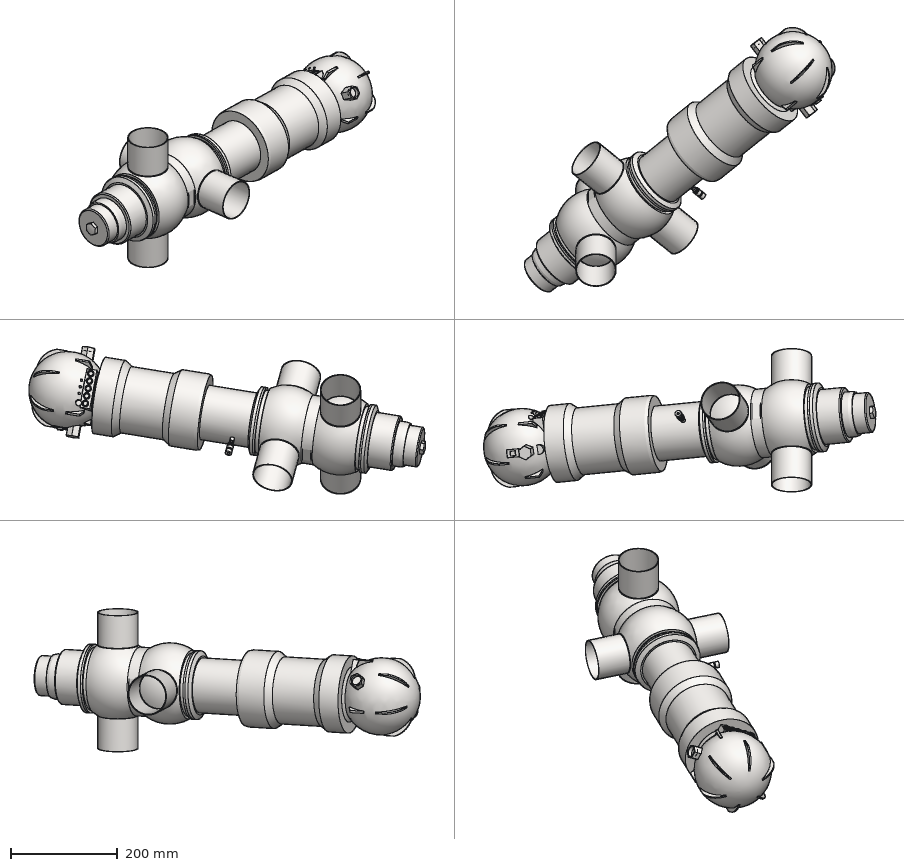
import cadquery as cq
import math


SCREW_TOP = 8.0
CAP_CONE_START = 34.0
CAP_CONE_END = 41.0
LOWER_CYLINDER_END = 54.0
LOWER_BALL_Y = 162.5
UPPER_BALL_Y = 266.0
ACTUATOR_BOTTOM = 422.0
ACTUATOR_TOP = 625.0
HEAD_SEAT = 629.5
OVERALL_LENGTH = 759.0

BALL_RADIUS = 77.0
WAIST_DIAMETER = 130.0
BALL_HALF_LENGTH = math.sqrt(BALL_RADIUS**2 - (WAIST_DIAMETER / 2) ** 2)
CLAMP_NECK_DIAMETER = 120.0
CLAMP_NECK_LENGTH = 7.5
FLANGE_DIAMETER = 130.0
HOUSING_FLANGE = 4.0
PORT_DIAMETER = 76.0
PORT_BORE = 73.0
PORT_REACH = 130.0
PORT_ROOT = 61.0
PORT_PLACES = ((UPPER_BALL_Y, 0), (UPPER_BALL_Y, 180), (LOWER_BALL_Y, 90), (LOWER_BALL_Y, 270))
WAIST_FLAT_DISTANCE = 63.0
WAIST_FLAT_LENGTH = 16.0

TUBE_DIAMETER = 104.0
TUBE_FLANGE = 6.0
FLANGE_CONE = 4.5
FLANGE_CONE_DIAMETER = 111.0

COLLAR_DIAMETER = 86.0
COLLAR_CONE_DIAMETER = 82.0
CAP_DIAMETER = 76.0
EDGE_CHAMFER = 2.0
SCREW_ACROSS_FLATS = 22.0
SCREW_CROWN_RADIUS = 45.5

FITTING_Y = 359.0
FITTING_REACH = 89.0
FITTING_HEAD_DIAMETER = 12.0
FITTING_GROOVE_DIAMETER = 11.0
FITTING_STEM_DIAMETER = 8.0
FITTING_BORE = 4.0
FITTING_BORE_DEPTH = 7.5
FITTING_HEAD = 7.5
FITTING_GROOVE = 2.0
FITTING_FLANGE = 2.0
FITTING_STEM_GROOVE_DIAMETER = 7.0
FITTING_STEM_GROOVE_WIDTH = 4.0
FITTING_STEM_GROOVE_X = -61.5

ACTUATOR_DIAMETER = 146.0
ACTUATOR_MID_DIAMETER = 127.0
ACTUATOR_CONE = 14.0
ACTUATOR_LOWER_END = 477.5
ACTUATOR_UPPER_START = 587.0
ACTUATOR_EDGE_HEIGHT = 6.0
ACTUATOR_EDGE_INSET = 1.5
SEAT_DIAMETER = 104.0
SEAT_TOP_DIAMETER = 82.0

HEAD_RADIUS = 73.0
HEAD_CENTRE = OVERALL_LENGTH - HEAD_RADIUS
UPPER_FIN_WIDTH = 3.0
LOWER_FIN_WIDTH = 4.5
FIN_REACH = 73.3
ATTACH_RADIUS = 30.0
UPPER_FIN_COUNT = 6
UPPER_FIN_START_ANGLE = 45
LOWER_FIN_COUNT = 4
LOWER_FIN_START_ANGLE = 75
UPPER_FIN_BOTTOM = 698.5
UPPER_FIN_BEND = 717.5
UPPER_FIN_ARC_MIDDLE = (62.0, 736.5)
UPPER_FIN_TIP = (38.0, 749.5)
UPPER_FIN_ROOT_TOP = 742.0
LOWER_FIN_TOP = 675.0
LOWER_FIN_BOTTOM = 648.5
LOWER_FIN_FOOT = (61.0, 642.0)
CABLE_GLAND_ANGLE = 30
BLANK_GLAND_ANGLE = 210
GLAND_Y = 661.0
GLAND_ACROSS_FLATS = 23.0
GLAND_REACH = 86.0
GLAND_BORE = 19.0
GLAND_BORE_DEPTH = 7.5
PLUG_Y = 641.0
PLUG_DIAMETER = 18.0
PLUG_REACH = 58.5
SOCKET_Y = 687.0
SOCKET_PLATE = (24.0, 15.0)
SOCKET_PLATE_REACH = 74.0
SOCKET_BOSS = (10.0, 9.0)
SOCKET_BOSS_REACH = 77.0
MANIFOLD_ANGLE = 120
MANIFOLD_DISTANCE = 57.0
MANIFOLD_LENGTH = 74.5
MANIFOLD_BOTTOM = 631.0
MANIFOLD_TOP = 650.0
MANIFOLD_DEPTH = 30.0
AIR_PORT_COUNT = 5
AIR_PORT_PITCH = 14.5
AIR_PORT_Y = 641.0
AIR_PORT_DIAMETER = 12.0
AIR_PORT_BORE = 8.0
AIR_PORT_LENGTH = 3.0
LAMP_COUNT = 3
LAMP_Y = 655.0
LAMP_DIAMETER = 4.0
LAMP_DEPTH = 4.0
LAMP_PITCH = 13.0
BUTTON_DIAMETER = 11.0
BUTTON_Y = 654.0
BUTTON_OFFSET = 29.5


def turned(points):
    """Solid of revolution about Y from (radius, y) points, closed along the axis."""
    outline = [(0, points[0][1]), *points, (0, points[-1][1])]
    return cq.Workplane("XY").polyline(outline).close().revolve(360, (0, 0, 0), (0, 1, 0))


def ball(radius, centre_y):
    """Sphere on the Y axis, with its poles on that axis."""
    sphere = cq.Workplane("XY").sphere(radius).rotate((0, 0, 0), (1, 0, 0), 90)
    return sphere.translate((0, centre_y, 0))


def around_axis(shape, angle):
    """Turn a shape built along +X to the given angle from +X towards +Z."""
    return shape.rotate((0, 0, 0), (0, 1, 0), -angle)


def rod_along_x(diameter, start, end, y, z=0):
    rod = cq.Workplane("YZ").circle(diameter / 2).extrude(end - start)
    return rod.translate((start, y, z))


def mirrored_y(points, plane_y):
    return [(radius, 2 * plane_y - y) for radius, y in points]


HOUSING_MIDDLE = (LOWER_BALL_Y + UPPER_BALL_Y) / 2
HOUSING_BOTTOM = LOWER_BALL_Y - BALL_HALF_LENGTH - CLAMP_NECK_LENGTH - HOUSING_FLANGE


def clamp_flange():
    """(radius, y) points of the flange and cone of the lower cylinder, from tube to housing."""
    cone_end = HOUSING_BOTTOM - TUBE_FLANGE
    return [
        (TUBE_DIAMETER / 2, cone_end - FLANGE_CONE),
        (FLANGE_CONE_DIAMETER / 2, cone_end - FLANGE_CONE),
        (FLANGE_DIAMETER / 2, cone_end),
        (FLANGE_DIAMETER / 2, HOUSING_BOTTOM),
    ]


def make_end_cap():
    cap = turned([
        (CAP_DIAMETER / 2 - EDGE_CHAMFER, SCREW_TOP),
        (CAP_DIAMETER / 2, SCREW_TOP + EDGE_CHAMFER),
        (CAP_DIAMETER / 2, CAP_CONE_START),
        (COLLAR_CONE_DIAMETER / 2, CAP_CONE_START),
        (COLLAR_DIAMETER / 2, CAP_CONE_END),
        (COLLAR_DIAMETER / 2, LOWER_CYLINDER_END),
    ])
    across_corners = SCREW_ACROSS_FLATS / math.cos(math.pi / 6)
    screw = cq.Workplane("XZ").polygon(6, across_corners).extrude(-SCREW_TOP)
    screw = screw.rotate((0, 0, 0), (0, 1, 0), 30)
    screw = screw.intersect(ball(SCREW_CROWN_RADIUS, SCREW_CROWN_RADIUS))
    return cap.union(screw)


def make_lower_cylinder():
    return turned([
        (TUBE_DIAMETER / 2 - EDGE_CHAMFER, LOWER_CYLINDER_END),
        (TUBE_DIAMETER / 2, LOWER_CYLINDER_END + EDGE_CHAMFER),
        *clamp_flange(),
    ])


def make_ball_chain():
    """Two balls joined by the waist, with a clamp neck and flange at each end."""
    neck_radius = CLAMP_NECK_DIAMETER / 2
    flange_radius = FLANGE_DIAMETER / 2
    waist_radius = WAIST_DIAMETER / 2
    flange_inner = HOUSING_BOTTOM + HOUSING_FLANGE
    lower_end = [
        (0, HOUSING_BOTTOM),
        (flange_radius, HOUSING_BOTTOM),
        (flange_radius, flange_inner),
        (neck_radius, flange_inner),
        (neck_radius, LOWER_BALL_Y - BALL_HALF_LENGTH),
        (waist_radius, LOWER_BALL_Y - BALL_HALF_LENGTH),
    ]
    upper_end = mirrored_y(lower_end, HOUSING_MIDDLE)[::-1]
    outline = (
        cq.Workplane("XY")
        .polyline(lower_end)
        .threePointArc((BALL_RADIUS, LOWER_BALL_Y), (waist_radius, LOWER_BALL_Y + BALL_HALF_LENGTH))
        .lineTo(waist_radius, UPPER_BALL_Y - BALL_HALF_LENGTH)
        .threePointArc((BALL_RADIUS, UPPER_BALL_Y), upper_end[0])
    )
    for point in upper_end[1:]:
        outline = outline.lineTo(*point)
    chain = outline.close().revolve(360, (0, 0, 0), (0, 1, 0))
    return around_axis(chain, 45)


def make_port(centre_y, angle):
    """Thin pipe stub whose inner end is buried in the ball, which closes it."""
    stub = rod_along_x(PORT_DIAMETER, PORT_ROOT, PORT_REACH, centre_y)
    bore = rod_along_x(PORT_BORE, PORT_ROOT, PORT_REACH, centre_y)
    return around_axis(stub.cut(bore), angle)


def make_housing():
    housing = make_ball_chain()
    flat_depth = WAIST_DIAMETER / 2
    for side in (-1, 1):
        flat = cq.Workplane("XY").box(flat_depth, WAIST_FLAT_LENGTH, WAIST_DIAMETER)
        flat = flat.translate((side * (WAIST_FLAT_DISTANCE + flat_depth / 2), HOUSING_MIDDLE, 0))
        housing = housing.cut(flat)
    for centre_y, angle in PORT_PLACES:
        housing = housing.union(make_port(centre_y, angle))
    return housing


def make_fitting():
    """Stepped fitting pointing to -X, bored in its end."""
    stations = [
        (FITTING_HEAD_DIAMETER, FITTING_HEAD),
        (FITTING_GROOVE_DIAMETER, FITTING_GROOVE),
        (FITTING_HEAD_DIAMETER, FITTING_HEAD),
        (FITTING_STEM_DIAMETER, FITTING_GROOVE),
        (FITTING_HEAD_DIAMETER, FITTING_FLANGE),
    ]
    fitting = rod_along_x(FITTING_STEM_DIAMETER, -FITTING_REACH, 0, FITTING_Y)
    start = -FITTING_REACH
    for diameter, length in stations:
        fitting = fitting.union(rod_along_x(diameter, start, start + length, FITTING_Y))
        start += length
    bore = rod_along_x(FITTING_BORE, -FITTING_REACH, FITTING_BORE_DEPTH - FITTING_REACH, FITTING_Y)
    half_groove = FITTING_STEM_GROOVE_WIDTH / 2
    groove_ends = (FITTING_STEM_GROOVE_X - half_groove, FITTING_STEM_GROOVE_X + half_groove)
    groove = rod_along_x(FITTING_STEM_DIAMETER, *groove_ends, FITTING_Y)
    groove = groove.cut(rod_along_x(FITTING_STEM_GROOVE_DIAMETER, *groove_ends, FITTING_Y))
    return fitting.cut(bore).cut(groove)


def make_upper_tube():
    flange = mirrored_y(clamp_flange(), HOUSING_MIDDLE)[::-1]
    tube = turned([*flange, (TUBE_DIAMETER / 2, ACTUATOR_BOTTOM)])
    return tube.union(make_fitting())


def make_actuator():
    outer = ACTUATOR_DIAMETER / 2
    middle = ACTUATOR_MID_DIAMETER / 2
    return turned([
        (outer - ACTUATOR_EDGE_INSET, ACTUATOR_BOTTOM),
        (outer, ACTUATOR_BOTTOM + ACTUATOR_EDGE_HEIGHT),
        (outer, ACTUATOR_LOWER_END),
        (middle, ACTUATOR_LOWER_END + ACTUATOR_CONE),
        (middle, ACTUATOR_UPPER_START - ACTUATOR_CONE),
        (outer, ACTUATOR_UPPER_START),
        (outer, ACTUATOR_TOP),
        (SEAT_DIAMETER / 2, ACTUATOR_TOP),
        (SEAT_TOP_DIAMETER / 2, HEAD_SEAT),
    ])


def make_upper_fin():
    fin = (
        cq.Workplane("XY")
        .moveTo(ATTACH_RADIUS, UPPER_FIN_BOTTOM)
        .lineTo(FIN_REACH, UPPER_FIN_BOTTOM)
        .lineTo(FIN_REACH, UPPER_FIN_BEND)
        .threePointArc(UPPER_FIN_ARC_MIDDLE, UPPER_FIN_TIP)
        .lineTo(ATTACH_RADIUS, UPPER_FIN_ROOT_TOP)
        .close()
    )
    return fin.extrude(UPPER_FIN_WIDTH / 2, both=True)


def make_lower_fin():
    outline = [
        (ATTACH_RADIUS, LOWER_FIN_TOP),
        (FIN_REACH, LOWER_FIN_TOP),
        (FIN_REACH, LOWER_FIN_BOTTOM),
        LOWER_FIN_FOOT,
        (ATTACH_RADIUS, LOWER_FIN_FOOT[1]),
    ]
    return cq.Workplane("XY").polyline(outline).close().extrude(LOWER_FIN_WIDTH / 2, both=True)


def add_fins(head):
    for fin, count, first in (
        (make_upper_fin(), UPPER_FIN_COUNT, UPPER_FIN_START_ANGLE),
        (make_lower_fin(), LOWER_FIN_COUNT, LOWER_FIN_START_ANGLE),
    ):
        for index in range(count):
            head = head.union(around_axis(fin, first + index * 360 / count))
    return head


def add_glands(head):
    """Two opposite hexagonal cable glands, one of them open, and a round plug below the blank one."""
    across_corners = GLAND_ACROSS_FLATS / math.cos(math.pi / 6)
    gland = cq.Workplane("YZ").polygon(6, across_corners).extrude(GLAND_REACH - ATTACH_RADIUS)
    gland = gland.rotate((0, 0, 0), (1, 0, 0), 90).translate((ATTACH_RADIUS, GLAND_Y, 0))
    bore = rod_along_x(GLAND_BORE, GLAND_REACH - GLAND_BORE_DEPTH, GLAND_REACH, GLAND_Y)
    plug = rod_along_x(PLUG_DIAMETER, ATTACH_RADIUS, PLUG_REACH, PLUG_Y)
    head = head.union(around_axis(gland.cut(bore), CABLE_GLAND_ANGLE))
    head = head.cut(around_axis(bore, CABLE_GLAND_ANGLE))
    head = head.union(around_axis(gland, BLANK_GLAND_ANGLE))
    return head.union(around_axis(plug, BLANK_GLAND_ANGLE))


def add_socket(head):
    """Small rectangular socket above the blank gland: a plate with a raised boss."""
    for size, reach in ((SOCKET_PLATE, SOCKET_PLATE_REACH), (SOCKET_BOSS, SOCKET_BOSS_REACH)):
        pad = cq.Workplane("YZ").rect(*size).extrude(reach - ATTACH_RADIUS)
        pad = pad.translate((ATTACH_RADIUS, SOCKET_Y, 0))
        head = head.union(around_axis(pad, BLANK_GLAND_ANGLE))
    return head


def drill_head(head, diameter, depth, y, z):
    """Shallow hole above the manifold, measured from the ball surface at the offset z."""
    surface = math.sqrt(HEAD_RADIUS**2 - (HEAD_CENTRE - y) ** 2 - z**2)
    hole = rod_along_x(diameter, surface - depth, HEAD_RADIUS, y, z)
    return head.cut(around_axis(hole, MANIFOLD_ANGLE))


def add_manifold(head):
    """Flat-faced air manifold let into the foot of the head, with push-in ports, lamps and a button."""
    height = MANIFOLD_TOP - MANIFOLD_BOTTOM
    middle_y = (MANIFOLD_TOP + MANIFOLD_BOTTOM) / 2
    block = cq.Workplane("XY").box(MANIFOLD_DEPTH, height, MANIFOLD_LENGTH)
    inside = block.translate((MANIFOLD_DISTANCE - MANIFOLD_DEPTH / 2, middle_y, 0))
    outside = block.translate((MANIFOLD_DISTANCE + MANIFOLD_DEPTH / 2, middle_y, 0))
    head = head.cut(around_axis(outside, MANIFOLD_ANGLE)).union(around_axis(inside, MANIFOLD_ANGLE))

    port_end = MANIFOLD_DISTANCE + AIR_PORT_LENGTH
    for index in range(AIR_PORT_COUNT):
        z = (index - (AIR_PORT_COUNT - 1) / 2) * AIR_PORT_PITCH
        ring = rod_along_x(AIR_PORT_DIAMETER, MANIFOLD_DISTANCE, port_end, AIR_PORT_Y, z)
        bore = rod_along_x(AIR_PORT_BORE, MANIFOLD_DISTANCE, port_end, AIR_PORT_Y, z)
        head = head.union(around_axis(ring.cut(bore), MANIFOLD_ANGLE))

    for index in range(LAMP_COUNT):
        z = (index - (LAMP_COUNT - 1) / 2) * LAMP_PITCH
        head = drill_head(head, LAMP_DIAMETER, LAMP_DEPTH, LAMP_Y, z)
    return drill_head(head, BUTTON_DIAMETER, LAMP_DEPTH, BUTTON_Y, BUTTON_OFFSET)


def make_control_head():
    head = ball(HEAD_RADIUS, HEAD_CENTRE)
    below = turned([(HEAD_RADIUS, HEAD_CENTRE - HEAD_RADIUS), (HEAD_RADIUS, HEAD_SEAT)])
    head = head.cut(below)
    return add_manifold(add_socket(add_glands(add_fins(head))))


end_cap = make_end_cap()
lower_cylinder = make_lower_cylinder()
housing = make_housing()
upper_tube = make_upper_tube()
actuator = make_actuator()
control_head = make_control_head()

result = cq.Compound.makeCompound([
    end_cap.val(),
    lower_cylinder.val(),
    housing.val(),
    upper_tube.val(),
    actuator.val(),
    control_head.val(),
])